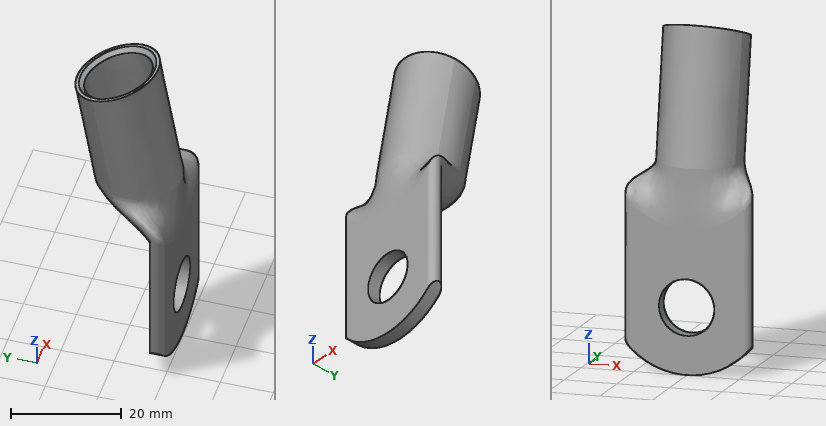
import cadquery as cq
import math


palm_width = 24.0
palm_thickness = 2.9
edge_radius = palm_thickness / 2
end_radius = 15.4
palm_height = 27.0
hole_diameter = 10.5
hole_height = 12.5
joint_height = 23.0

barrel_diameter = 16.0
barrel_tilt = math.radians(9.9)
barrel_base = 38.35
mouth_tilt = 19.9
mouth_top = 63.9
bore_diameter = 13.0
mouth_chamfer = 0.8
overrun = 38.35

barrel_pull = 8.95
palm_pull = 10.2
back_pull = 19.15
neck_steps = 6
side_angle = 20.0
edge_samples = 8

pocket_floor = 31.95
pocket_length = 10.2
pocket_thickness = 1.3
pocket_center_y = 2.25

half_width = palm_width / 2
flat_half = half_width - edge_radius
axis = cq.Vector(0, math.sin(barrel_tilt), math.cos(barrel_tilt))
base_depth = barrel_diameter / math.cos(barrel_tilt)
base_y = base_depth / 2
mouth_slope = math.radians(mouth_tilt)
mouth_normal = cq.Vector(0, math.sin(mouth_slope), math.cos(mouth_slope))

shapes = cq.occ_impl.shapes


def arc_height(x):
    """Rise of the palm end arc at distance x from the centreline."""
    return end_radius - math.sqrt(end_radius**2 - x**2)


def barrel_point(angle):
    """Point on the barrel outline at its horizontal base."""
    a = math.radians(angle)
    return cq.Vector(
        barrel_diameter / 2 * math.cos(a), base_y + base_depth / 2 * math.sin(a), barrel_base
    )


def palm_point(quarter, t):
    """Point on the palm outline: right edge, back, left edge, front."""
    turn = math.pi * (t - 0.5)
    if quarter == 0:
        return flat_half + edge_radius * math.cos(turn), edge_radius * (1 + math.sin(turn))
    if quarter == 1:
        return flat_half * (1 - 2 * t), palm_thickness
    if quarter == 2:
        return -flat_half - edge_radius * math.cos(turn), edge_radius * (1 - math.sin(turn))
    return flat_half * (2 * t - 1), 0.0


def neck_point(quarter, t, v):
    """Cubic blend from the barrel base (v = 0) to the palm seam (v = 1)."""
    starts = (-side_angle, side_angle, 180 - side_angle, 180 + side_angle)
    ends = starts[1:] + (360 - side_angle,)
    angle = starts[quarter] + t * (ends[quarter] - starts[quarter])
    start = barrel_point(angle)
    x, y = palm_point(quarter, t)
    end = cq.Vector(x, y, palm_height + arc_height(x))
    lean = max(0.0, math.sin(math.radians(angle))) * back_pull
    start_pull = cq.Vector(0, 0, -barrel_pull)
    end_pull = cq.Vector(0, -lean, -palm_pull)
    return (
        start * (2 * v**3 - 3 * v**2 + 1)
        + start_pull * (v**3 - 2 * v**2 + v)
        + end * (3 * v**2 - 2 * v**3)
        + end_pull * (v**3 - v**2)
    )


def neck_wire(v):
    """Closed neck outline at blend position v."""
    edges = []
    for quarter in range(4):
        points = [neck_point(quarter, i / edge_samples, v) for i in range(edge_samples + 1)]
        edges.append(cq.Edge.makeSpline(points))
    return cq.Wire.assembleEdges(edges)


def palm_wire(z):
    """Round-edged palm outline at height z."""
    edges = []
    for quarter in range(4):
        points = [cq.Vector(*palm_point(quarter, t), z) for t in (0, 0.5, 1)]
        if quarter % 2 == 0:
            edges.append(cq.Edge.makeThreePointArc(*points))
        else:
            edges.append(cq.Edge.makeLine(points[0], points[2]))
    return cq.Wire.assembleEdges(edges)


def make_neck():
    """Flare from barrel to curved seam, with a skirt down to the straight palm."""
    wires = [neck_wire(i / neck_steps) for i in range(neck_steps + 1)]
    bottom = palm_wire(joint_height)
    flare = shapes.loft(wires, cap=False)
    skirt = shapes.loft([wires[-1], bottom], cap=False, ruled=True)
    faces = flare.Faces() + skirt.Faces()
    faces += [cq.Face.makeFromWires(wires[0]), cq.Face.makeFromWires(bottom)]
    return cq.Workplane(shapes.solid(shapes.shell(faces, tol=0.001)))


def make_palm():
    palm = cq.Workplane(cq.Solid.extrudeLinear(palm_wire(0), [], cq.Vector(0, 0, joint_height)))
    corner_height = arc_height(half_width)
    outline = (
        cq.Workplane("XZ")
        .moveTo(-half_width, joint_height)
        .lineTo(-half_width, corner_height)
        .threePointArc((0, 0), (half_width, corner_height))
        .lineTo(half_width, joint_height)
        .close()
        .extrude(-palm_thickness)
    )
    hole = (
        cq.Workplane("XZ").center(0, hole_height).circle(hole_diameter / 2).extrude(-palm_thickness)
    )
    return palm.intersect(outline).cut(hole)


def above_mouth():
    """Block whose tilted underside trims the barrel mouth."""
    front_y = (mouth_top - barrel_base) * math.tan(barrel_tilt)
    return (
        cq.Workplane("XY")
        .box(2 * overrun, 2 * overrun, overrun, centered=(True, True, False))
        .rotate((0, 0, 0), (1, 0, 0), -mouth_tilt)
        .translate((0, front_y, mouth_top))
    )


def make_barrel():
    barrel = cq.Workplane(cq.Solid.extrudeLinear(neck_wire(0), [], axis * overrun))
    return barrel.cut(above_mouth())


def make_bore():
    """Round bore that tapers into a narrow pocket inside the neck."""
    bore_depth = bore_diameter / math.cos(barrel_tilt)
    base = cq.Workplane("XY", origin=(0, base_y, barrel_base)).ellipse(bore_diameter / 2, bore_depth / 2)
    bore = cq.Solid.extrudeLinear(base.wires().val(), [], axis * overrun)
    floor = cq.Workplane("XY", origin=(0, pocket_center_y, pocket_floor)).ellipse(
        pocket_length / 2, pocket_thickness / 2
    )
    pocket = cq.Solid.makeLoft([base.wires().val(), floor.wires().val()], True)
    return cq.Workplane(bore).union(cq.Workplane(pocket))


lug = make_palm().union(make_neck()).union(make_barrel()).cut(make_bore())
mouth = lug.faces(cq.selectors.ParallelDirSelector(mouth_normal))
result = mouth.wires(cq.selectors.LengthNthSelector(0)).chamfer(mouth_chamfer)